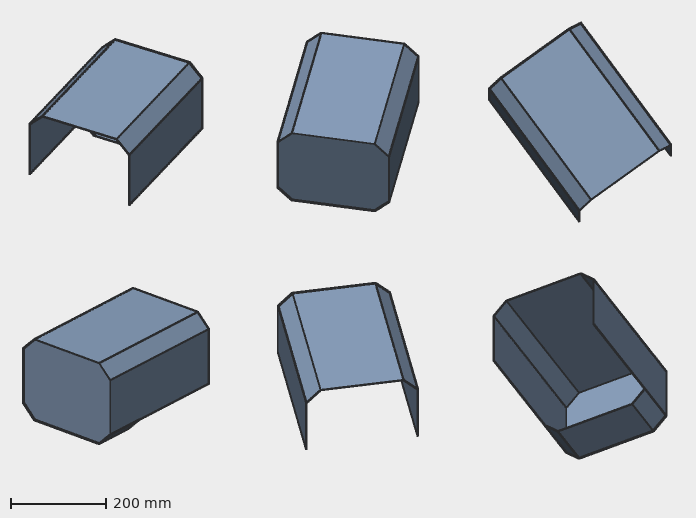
import math

import cadquery as cq

width = 240.0
length = 322.5
height = 190.0

sheet = 2.0
bevel = 31.0
closed_length = 95.0

half_width = width / 2
half_height = height / 2
half_length = length / 2
flat_x = half_width - bevel
wall_z = half_height - bevel

bevel_angle = 45.0
corner_shift = sheet * math.tan(math.radians(bevel_angle / 2))


def octagon():
    """Outer profile in the XZ plane at the rear end, extruding toward the front (-Y)."""
    return (
        cq.Workplane("XZ", origin=(0, half_length, 0))
        .moveTo(-flat_x, half_height)
        .lineTo(flat_x, half_height)
        .lineTo(half_width, wall_z)
        .lineTo(half_width, -wall_z)
        .lineTo(flat_x, -half_height)
        .lineTo(-flat_x, -half_height)
        .lineTo(-half_width, -wall_z)
        .lineTo(-half_width, wall_z)
        .close()
    )


def octagonal_box():
    """Octagonal tube, open at the front and closed by an end wall at the rear (+Y)."""
    outer = octagon().extrude(length)
    cavity = octagon().offset2D(-sheet).extrude(length).translate((0, -sheet, 0))
    return outer.cut(cavity)


def floor_opening():
    """Cutter that leaves square-ended side walls ahead of the closed rear stretch."""
    open_length = length - closed_length
    corner = (0, -half_length, -half_height)
    from_corner = (True, False, False)
    below_walls = (
        cq.Workplane("XY", origin=corner)
        .box(width, open_length, bevel, centered=from_corner)
    )
    between_walls = (
        cq.Workplane("XY", origin=corner)
        .box(width - 2 * sheet, open_length, bevel + corner_shift, centered=from_corner)
    )
    return below_walls.union(between_walls)


result = octagonal_box().cut(floor_opening())